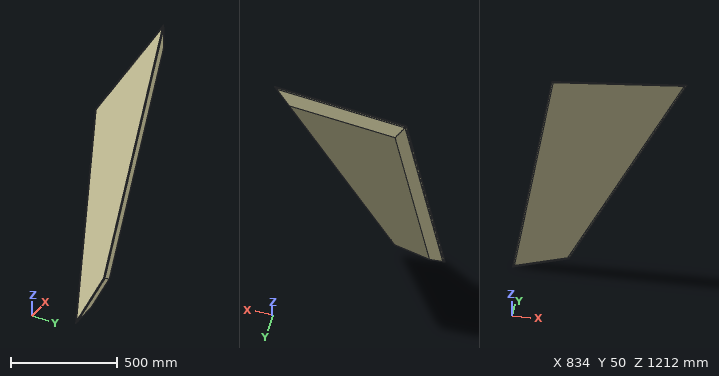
import cadquery as cq

width = 834.0
height = 1212.0
depth = 50.0

upper_left_x = 188.0
upper_left_z = 1140.0
lower_right_x = 269.0
lower_right_z = 88.0

taper_angle = 45.0

rim_width = 7.0

outline = [
    (0, 0),
    (upper_left_x, upper_left_z),
    (width, height),
    (lower_right_x, lower_right_z),
]


def front_outline():
    """Full outline on the front plane, y = 0."""
    return cq.Workplane("XZ").polyline(outline).close()


def make_envelope():
    """Whole tapered block, which the core and the edge strip fill together."""
    return front_outline().extrude(-depth, taper=taper_angle)


def make_core_prism():
    """Straight prism through the full depth, set in from the outline by the rim."""
    return front_outline().offset2D(-rim_width, "intersection").extrude(-depth)


def make_core():
    """Panel core: straight sides behind the rim, then sides tapering to the back."""
    return make_envelope().intersect(make_core_prism())


def make_edge_strip():
    """Closed strip of triangular section around the front of the core."""
    return make_envelope().cut(make_core_prism())


core = make_core().solids()
edge_strip = make_edge_strip().solids()

result = cq.Compound.makeCompound([core.val(), edge_strip.val()])